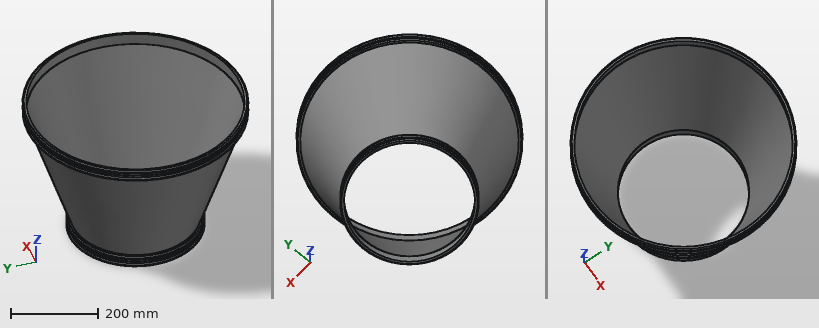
import cadquery as cq

total_height = 358.5
ring_height = 29.5

large_bore_radius = 500.0 / 2
small_bore_radius = 300.0 / 2

cone_wall = 0.8
ring_wall = 5.5

bead_projection = 3.35
bead_crest_width = 2.5
bead_width = bead_crest_width + 2 * bead_projection

ridge_projection = 0.5


def bead_points(start, wall_radius):
    """Outline of one bead as (radius, station), beginning at its first foot."""
    crest_radius = wall_radius + bead_projection
    return [
        (wall_radius, start),
        (crest_radius, start + bead_projection),
        (crest_radius, start + bead_projection + bead_crest_width),
        (wall_radius, start + bead_width),
    ]


def ridge_points(middle, wall_radius):
    """Outline of the pointed ridge as (radius, station)."""
    return [
        (wall_radius, middle - ridge_projection),
        (wall_radius + ridge_projection, middle),
        (wall_radius, middle + ridge_projection),
    ]


def revolve_about_z(points):
    """Solid of revolution from a closed (radius, z) outline."""
    return cq.Workplane("XZ").polyline(points).close().revolve(360, (0, 0), (0, 1))


def make_ring(bore_radius, bottom_z):
    """End ring with a bead along each rim and a ridge halfway between them."""
    wall_radius = bore_radius + ring_wall
    top_z = bottom_z + ring_height
    return revolve_about_z([
        (bore_radius, bottom_z),
        *bead_points(bottom_z, wall_radius),
        *ridge_points(bottom_z + ring_height / 2, wall_radius),
        *bead_points(top_z - bead_width, wall_radius),
        (bore_radius, top_z),
    ])


def make_cone():
    """Thin conical shell between the inner faces of the two rings."""
    bottom_z = ring_height
    top_z = total_height - ring_height
    return revolve_about_z([
        (small_bore_radius, bottom_z),
        (small_bore_radius + cone_wall, bottom_z),
        (large_bore_radius + cone_wall, top_z),
        (large_bore_radius, top_z),
    ])


cone = make_cone()

ring_places = [
    (small_bore_radius, 0),
    (large_bore_radius, total_height - ring_height),
]
rings = [make_ring(bore_radius, bottom_z) for bore_radius, bottom_z in ring_places]

result = cq.Compound.makeCompound([cone.val(), *[ring.val() for ring in rings]])